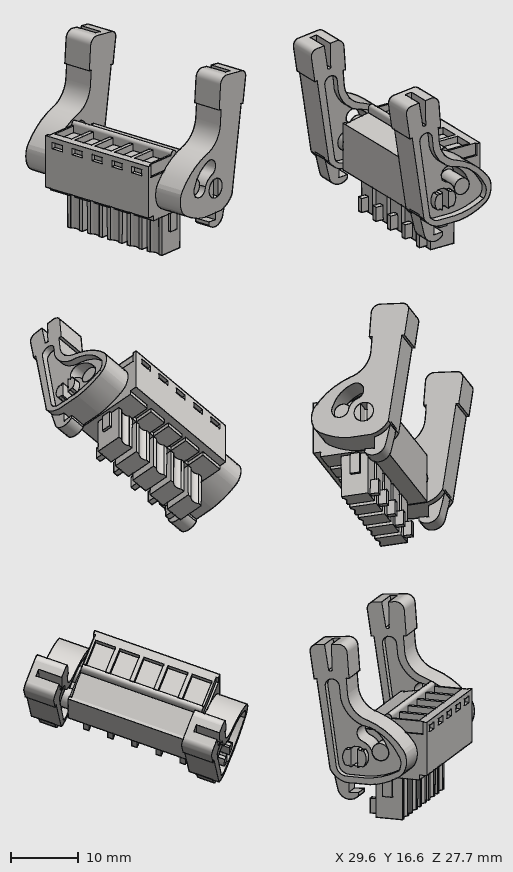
import cadquery as cq
import math


POLES = 5
PITCH = 3.81
POLE_X = [(i - (POLES - 1) / 2) * PITCH for i in range(POLES)]

HOUSING_W = 19.75
HOUSING_HALF = HOUSING_W / 2
HOUSING_D = 11.07
DECK_Z = 8.93
BASE_H = 0.77
BASE_Y = 1.14
BACK_STRIP_D = 0.45
BACK_STRIP_Z = 7.57
BEAD_R = 0.54
BEAD_Y = 6.21
BEAD_Z = 9.02
ROOF_FOOT_Z = 8.3

RECESS_DEPTH = 0.34
RECESS_Y = 0.6
RECESS_Z = 7.04

POCKET_W = 3.15
POCKET_Y = 1.4
POCKET_D = BEAD_Y - BEAD_R - POCKET_Y
POCKET_DEPTH = 1.06
INSERT_H = 4.0

WINDOW_W = 1.93
WINDOW_H = 0.99
WINDOW_Z = 7.17
WINDOW_DEPTH = 0.65

LEG_W = 2.95
LEG_DRAFT = 0.05
LEG_Y = 4.1
LEG_D = 4.2
LEG_LEN = 6.61
GROOVE_W = 1.65
GROOVE_DEPTH = 0.35
KEY_D = 1.25
KEY_W = 0.85
KEY_BOTTOM = -6.33
KEY_H = 2.28
SIDE_RIB_X = 9.45
SIDE_RIB_Y = 5.63
SIDE_RIB_D = 1.46
SIDE_RIB_LEN = 3.2

LEVER_T = 4.73
OVERALL_W = 29.64
LEVER_OUTER = OVERALL_W / 2
LEVER_INNER = LEVER_OUTER - LEVER_T
LEVER_STARTS = [-LEVER_OUTER, LEVER_INNER]
LEVER_POCKET = 1.1
HEAD_SLOT_LEN = 3.65
HOOK_INSET = 1.1
HOOK_T = 2.55

PIN_Y = 9.58
PIN_Z = 3.87
PIN_R = 1.51
PIN_SLOT_W = 1.03
PIN_SLOT_DEPTH = 2.6
LIP_REACH = 1.85
LIP_HALF_H = 1.22
GUIDE_R = 1.3
GUIDE_HOLE_R = 1.33
GUIDE_SLOT_HALF = 1.28
GUIDE_ORBIT = 3.81
GUIDE_ANGLE = 14.7
SLOT_END_ANGLE = 70.0


def block(x, y, z, dx, dy, dz):
    """Box from its lowest corner and its sizes."""
    return cq.Workplane("XY").box(dx, dy, dz, centered=False).translate((x, y, z))


def centred_block(x, y, z, dx, dy, dz):
    """Box centred on x, with its lowest y and z."""
    return block(x - dx / 2, y, z, dx, dy, dz)


def side_plane(x):
    """Sketch plane facing +X, with Y to the right and Z up."""
    return cq.Workplane("YZ", origin=(x, 0, 0))


def on_orbit(radius, angle):
    """Point at a distance from the lever axis, angle measured from -Y towards +Z."""
    turn = math.radians(angle)
    return (PIN_Y - radius * math.cos(turn), PIN_Z + radius * math.sin(turn))


def housing_shell():
    bead_front = BEAD_Y - BEAD_R
    bead_back = BEAD_Y + BEAD_R
    return (
        side_plane(-HOUSING_HALF)
        .moveTo(0, BASE_H)
        .lineTo(0, DECK_Z)
        .lineTo(bead_front, DECK_Z)
        .lineTo(bead_front, BEAD_Z)
        .threePointArc((BEAD_Y, BEAD_Z + BEAD_R), (bead_back, BEAD_Z))
        .lineTo(bead_back, ROOF_FOOT_Z)
        .lineTo(HOUSING_D - BACK_STRIP_D, BACK_STRIP_Z)
        .lineTo(HOUSING_D, BACK_STRIP_Z)
        .lineTo(HOUSING_D, 0)
        .lineTo(BASE_Y, 0)
        .lineTo(BASE_Y, BASE_H)
        .close()
        .extrude(HOUSING_W)
    )


def end_recesses():
    length = HOUSING_D - BACK_STRIP_D - RECESS_Y
    height = BEAD_Z + BEAD_R - RECESS_Z
    left = block(-HOUSING_HALF, RECESS_Y, RECESS_Z, RECESS_DEPTH, length, height)
    return left.union(left.mirror("YZ"))


def leg(x):
    groove_half = GROOVE_W / 2
    outline = (
        cq.Workplane("XY", origin=(x, 0, -LEG_LEN))
        .rect(LEG_W - 2 * LEG_DRAFT, LEG_D - LEG_DRAFT)
        .workplane(offset=LEG_LEN)
        .rect(LEG_W, LEG_D)
        .loft(combine=True)
        .translate((0, LEG_Y + LEG_D / 2, 0))
    )
    groove = (
        cq.Workplane("XY", origin=(x, LEG_Y, -LEG_LEN))
        .moveTo(-groove_half, -LEG_DRAFT)
        .lineTo(-groove_half, LEG_DRAFT)
        .threePointArc((0, GROOVE_DEPTH), (groove_half, LEG_DRAFT))
        .lineTo(groove_half, -LEG_DRAFT)
        .close()
        .extrude(LEG_LEN)
    )
    key = centred_block(x, LEG_Y + LEG_D / 2, KEY_BOTTOM, KEY_W, LEG_D / 2 + KEY_D, KEY_H)
    return outline.cut(groove).union(key)


def side_rib():
    inner_x = POLE_X[0]
    return block(-SIDE_RIB_X, SIDE_RIB_Y, -SIDE_RIB_LEN, SIDE_RIB_X + inner_x, SIDE_RIB_D, SIDE_RIB_LEN)


def guide_pin():
    """Plain stop pin on the -X end, flush with the floor of the lever hollow."""
    length = LEVER_OUTER - LEVER_POCKET - HOUSING_HALF
    centre = on_orbit(GUIDE_ORBIT, GUIDE_ANGLE)
    return side_plane(-HOUSING_HALF - length).center(*centre).circle(GUIDE_R).extrude(length)


def snap_lip(plane):
    """Round-ended snap lip, wider than the pin across Y, as tall as the lever hollow is deep."""
    return plane.circle(LIP_REACH).extrude(LEVER_POCKET).intersect(
        plane.rect(2 * LIP_REACH, 2 * LIP_HALF_H).extrude(LEVER_POCKET)
    )


def axis_pin(with_lips):
    """Split pin on the -X end that carries a lever; the lips seat on the floor of its hollow."""
    length = LEVER_OUTER - HOUSING_HALF
    plane = side_plane(-LEVER_OUTER).center(PIN_Y, PIN_Z)
    pin = plane.circle(PIN_R).extrude(length)
    if with_lips:
        pin = pin.union(snap_lip(plane))
    slot_half = PIN_SLOT_W / 2
    slot = (
        cq.Workplane("XY", origin=(-LEVER_OUTER, PIN_Y, PIN_Z - PIN_R))
        .moveTo(0, -slot_half)
        .lineTo(PIN_SLOT_DEPTH - slot_half, -slot_half)
        .threePointArc((PIN_SLOT_DEPTH, 0), (PIN_SLOT_DEPTH - slot_half, slot_half))
        .lineTo(0, slot_half)
        .close()
        .extrude(2 * PIN_R)
    )
    return pin.cut(slot)


def make_housing():
    """Housing with its legs and pins; the +X lever has its hollow inside, so that axis pin has no lips."""
    body = housing_shell().cut(end_recesses())
    for x in POLE_X:
        pocket_h = POCKET_DEPTH + INSERT_H
        body = body.cut(centred_block(x, POCKET_Y, DECK_Z - pocket_h, POCKET_W, POCKET_D, pocket_h))
        body = body.cut(centred_block(x, 0, WINDOW_Z, WINDOW_W, WINDOW_DEPTH, WINDOW_H))
        body = body.union(leg(x))
    for x in POLE_X[:-1]:
        notch_w = PITCH - LEG_W
        body = body.cut(centred_block(x + PITCH / 2, BASE_Y, 0, notch_w, LEG_Y - BASE_Y, BASE_H))
    rib = side_rib()
    guide = guide_pin()
    body = body.union(rib).union(rib.mirror("YZ"))
    body = body.union(guide).union(guide.mirror("YZ"))
    return body.union(axis_pin(True)).union(axis_pin(False).mirror("YZ"))


def make_insert(x):
    return centred_block(x, POCKET_Y, DECK_Z - POCKET_DEPTH - INSERT_H, POCKET_W, POCKET_D, INSERT_H)


def lever_blank(x):
    """Outer shape: grip head, leaning arm and rounded body."""
    return (
        side_plane(x)
        .moveTo(13.40, 1.80)
        .lineTo(15.50, 15.45)
        .lineTo(15.92, 15.42)
        .lineTo(16.53, 19.40)
        .threePointArc((16.36, 20.24), (15.49, 20.69))
        .lineTo(12.07, 21.07)
        .threePointArc((11.16, 20.74), (10.71, 19.85))
        .lineTo(10.42, 15.99)
        .lineTo(10.86, 15.96)
        .lineTo(10.65, 13.45)
        .threePointArc((9.73, 11.28), (7.55, 9.87))
        .threePointArc((4.55, 8.36), (1.90, 5.75))
        .lineTo(1.60, 5.20)
        .threePointArc((1.41, 3.75), (1.87, 2.30))
        .threePointArc((2.30, 1.83), (2.83, 1.45))
        .threePointArc((4.90, 0.50), (7.10, 0.0))
        .lineTo(10.80, 0.0)
        .threePointArc((12.40, 0.70), (13.40, 1.80))
        .close()
        .extrude(LEVER_T)
    )


def lever_hollow(x):
    """Shallow hollow that leaves a rim all round."""
    return (
        side_plane(x)
        .moveTo(12.42, 2.30)
        .lineTo(14.17, 14.60)
        .threePointArc((13.05, 15.65), (11.92, 14.60))
        .lineTo(11.73, 12.80)
        .threePointArc((10.45, 10.40), (8.42, 9.04))
        .threePointArc((5.10, 7.70), (2.70, 4.97))
        .threePointArc((2.28, 3.87), (2.73, 2.48))
        .threePointArc((5.25, 1.42), (7.98, 0.98))
        .lineTo(10.90, 0.98)
        .threePointArc((11.90, 1.40), (12.42, 2.30))
        .close()
        .extrude(LEVER_POCKET)
    )


def head_slot(x):
    """Tapered slot down from the top of the grip."""
    return (
        side_plane(x)
        .moveTo(14.36, 21.4)
        .lineTo(13.62, 17.0)
        .threePointArc((13.35, 16.85), (13.08, 17.0))
        .lineTo(13.19, 21.4)
        .close()
        .extrude(HEAD_SLOT_LEN)
    )


def guide_slot(x):
    """Curved slot concentric with the lever axis."""
    middle = (GUIDE_ANGLE + SLOT_END_ANGLE) / 2
    inner = GUIDE_ORBIT - GUIDE_SLOT_HALF
    outer = GUIDE_ORBIT + GUIDE_SLOT_HALF
    slot = (
        side_plane(x)
        .moveTo(*on_orbit(inner, GUIDE_ANGLE))
        .threePointArc(on_orbit(inner, middle), on_orbit(inner, SLOT_END_ANGLE))
        .lineTo(*on_orbit(outer, SLOT_END_ANGLE))
        .threePointArc(on_orbit(outer, middle), on_orbit(outer, GUIDE_ANGLE))
        .close()
        .extrude(LEVER_T)
    )
    for angle, radius in ((GUIDE_ANGLE, GUIDE_HOLE_R), (SLOT_END_ANGLE, GUIDE_SLOT_HALF)):
        end = side_plane(x).center(*on_orbit(GUIDE_ORBIT, angle)).circle(radius).extrude(LEVER_T)
        slot = slot.union(end)
    return slot


def hook(x):
    """Ejector hook under the lever."""
    return (
        side_plane(x + HOOK_INSET)
        .moveTo(13.45, 2.10)
        .lineTo(12.57, -1.50)
        .threePointArc((10.90, -2.86), (9.32, -2.2))
        .lineTo(9.32, -1.68)
        .lineTo(10.86, -1.78)
        .lineTo(10.86, 1.0)
        .close()
        .extrude(HOOK_T)
    )


def make_lever(x):
    axis_hole = side_plane(x).center(PIN_Y, PIN_Z).circle(PIN_R).extrude(LEVER_T)
    body = lever_blank(x).union(hook(x))
    return body.cut(lever_hollow(x)).cut(head_slot(x)).cut(guide_slot(x)).cut(axis_hole)


housing = make_housing()
inserts = [make_insert(x).val() for x in POLE_X]
levers = [make_lever(x).val() for x in LEVER_STARTS]

result = cq.Compound.makeCompound([housing.val(), *inserts, *levers])